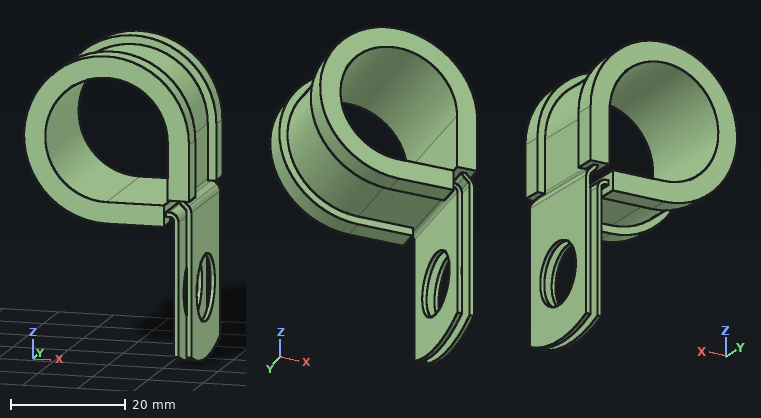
import cadquery as cq
import math

loop_radius = 14.95
cushion_thickness = 3.9
bore_radius = loop_radius - cushion_thickness
cushion_width = 22.1
down_leg_end = 10.2
side_leg_end = 10.4

channel_width = 13.85
channel_depth = 1.55
channel_radius = loop_radius - channel_depth

band_thickness = 0.85
band_radius = channel_radius - band_thickness / 2
bend_radius = 1.3
jog_angle = math.radians(45)
tab_gap = 1.5
tab_width = 19.1
tab_bottom = loop_radius - 55.45
outer_tab_x = loop_radius - band_thickness / 2
inner_tab_x = outer_tab_x - band_thickness - tab_gap
jog_top = -9.85
band_overlap = 2.75

end_rise = 2.1
hole_diameter = 12.0
hole_z = tab_bottom + 12.7


def loop_solid(radius, down_end, side_end, width):
    """Solid teardrop of the given radius, centred on Y = 0, with square leg ends."""
    return (
        cq.Workplane("XZ")
        .moveTo(radius, 0)
        .threePointArc((0, radius), (-radius, 0))
        .threePointArc((-radius * math.sqrt(0.5), -radius * math.sqrt(0.5)), (0, -radius))
        .lineTo(side_end, -radius)
        .lineTo(side_end, -down_end)
        .lineTo(radius, -down_end)
        .close()
        .extrude(width / 2, both=True)
    )


def make_cushion():
    """U-section loop, open between its two legs."""
    outside = loop_solid(loop_radius, down_leg_end, side_leg_end, cushion_width)
    channel_floor = loop_solid(channel_radius, down_leg_end, side_leg_end, channel_width)
    channel = cq.Workplane("XY").box(3 * loop_radius, channel_width, 3 * loop_radius)
    cushion = outside.cut(channel.cut(channel_floor))
    bore = cq.Workplane("XZ").circle(bore_radius).extrude(cushion_width / 2, both=True)
    corner = (
        cq.Workplane("XZ")
        .center(bore_radius / 2, -bore_radius / 2)
        .rect(bore_radius, bore_radius)
        .extrude(cushion_width / 2, both=True)
    )
    return cushion.cut(bore).cut(corner)


def sweep_strip(path, plane, start):
    """Sweep the band section along a centre line that begins at the start point."""
    section = cq.Workplane(plane, origin=start)
    if plane == "XY":
        section = section.rect(band_thickness, tab_width)
    else:
        section = section.rect(tab_width, band_thickness)
    return section.sweep(path)


def make_inner_tab():
    """Tab that leaves the side leg and turns straight down."""
    start_x = side_leg_end - band_overlap
    bend_offset = bend_radius * (1 - math.sqrt(0.5))
    path = (
        cq.Workplane("XZ")
        .moveTo(start_x, -band_radius)
        .lineTo(inner_tab_x - bend_radius, -band_radius)
        .threePointArc(
            (inner_tab_x - bend_offset, -band_radius - bend_offset),
            (inner_tab_x, -band_radius - bend_radius),
        )
        .lineTo(inner_tab_x, tab_bottom)
    )
    return sweep_strip(path, "YZ", (start_x, 0, -band_radius))


def make_outer_tab():
    """Tab that leaves the down leg and jogs outward to the side of the loop."""
    bend_x = bend_radius * (1 - math.cos(jog_angle))
    bend_z = bend_radius * math.sin(jog_angle)
    mid_x = bend_radius * (1 - math.cos(jog_angle / 2))
    mid_z = bend_radius * math.sin(jog_angle / 2)
    slope_height = (outer_tab_x - band_radius - 2 * bend_x) / math.tan(jog_angle)
    jog_bottom = jog_top - 2 * bend_z - slope_height
    start_z = band_overlap - down_leg_end
    path = (
        cq.Workplane("XZ")
        .moveTo(band_radius, start_z)
        .lineTo(band_radius, jog_top)
        .threePointArc((band_radius + mid_x, jog_top - mid_z), (band_radius + bend_x, jog_top - bend_z))
        .lineTo(outer_tab_x - bend_x, jog_bottom + bend_z)
        .threePointArc((outer_tab_x - mid_x, jog_bottom + mid_z), (outer_tab_x, jog_bottom))
        .lineTo(outer_tab_x, tab_bottom)
    )
    return sweep_strip(path, "XY", (band_radius, 0, start_z))


def make_tab_outline():
    """Block along X with a rounded lower end and a bolt hole, used to trim both tabs."""
    half_width = tab_width / 2
    shoulder_z = tab_bottom + end_rise
    outline = (
        cq.Workplane("YZ")
        .moveTo(-half_width, 0)
        .lineTo(-half_width, shoulder_z)
        .threePointArc((0, tab_bottom), (half_width, shoulder_z))
        .lineTo(half_width, 0)
        .close()
        .extrude(2 * loop_radius)
    )
    hole = cq.Workplane("YZ").center(0, hole_z).circle(hole_diameter / 2).extrude(2 * loop_radius)
    return outline.cut(hole)


tabs = make_inner_tab().union(make_outer_tab()).intersect(make_tab_outline())
result = make_cushion().union(tabs)